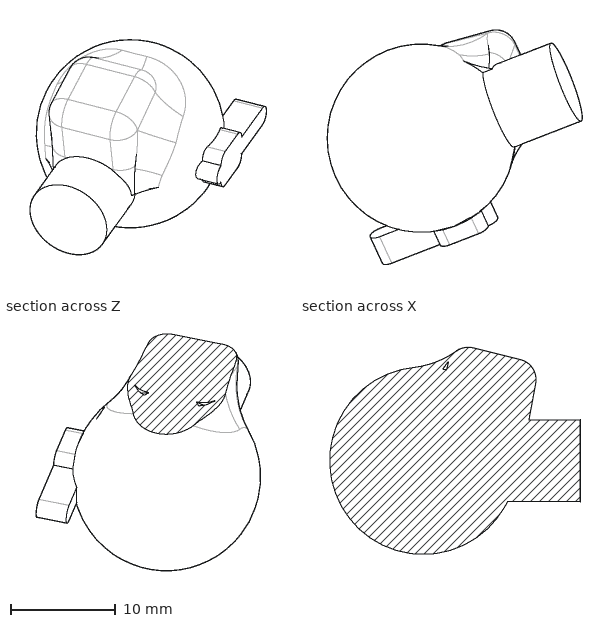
import cadquery as cq
import math

BALL_RADIUS = 9.0

PIN_DIAMETER = 8.0
PIN_END_Y = -15.0

TAB_INNER_X = 7.5
TAB_OUTER_X = 10.5
BAR_WIDTH = 2.0
BAR_START_Y = -3.5
BAR_END_Y = 8.5
HUB_LENGTH = 5.0
HUB_WIDTH = 4.0
HUB_CORNER_RADIUS = 1.0

LUMP_WIDTH = 9.0
LUMP_ROUND = 2.0
FRONT_ANGLE = 10.5
FRONT_BASE_ANGLE = 4.5
TOP_ANGLE = 14.0
KINK_Z = 3.3
KINK_Y = -10.0
TOP_FRONT_AXIS_Z = 7.73
TOP_BACK_AXIS_Y = -4.31

BLEND_RADIUS = 9.0
INNER_SCALE = 0.75
BLEND_STEPS = 6
OVERLAP = 0.001

HALF_AXIS_X = LUMP_WIDTH / 2 - LUMP_ROUND
FRONT_TAN = math.tan(math.radians(FRONT_ANGLE))
TOP_TAN = math.tan(math.radians(TOP_ANGLE))
TOP_COS = math.cos(math.radians(TOP_ANGLE))
TOP_SIN = math.sin(math.radians(TOP_ANGLE))
FRONT_BASE_Y = KINK_Y + KINK_Z * math.tan(math.radians(FRONT_BASE_ANGLE))


def front_y(z):
    """Y of the front face at height z, above the kink."""
    return KINK_Y - (z - KINK_Z) * FRONT_TAN


FRONT_INSET = LUMP_ROUND / math.cos(math.radians(FRONT_ANGLE))
TOP_FRONT_AXIS_Y = front_y(TOP_FRONT_AXIS_Z) + FRONT_INSET
TOP_BACK_AXIS_Z = TOP_FRONT_AXIS_Z + (TOP_BACK_AXIS_Y - TOP_FRONT_AXIS_Y) * TOP_TAN


def make_lump():
    """Rounded block standing on Z = 0, with a leaning front and a sloping top."""
    top_z_at_origin = TOP_BACK_AXIS_Z - TOP_BACK_AXIS_Y * TOP_TAN + LUMP_ROUND / TOP_COS
    top_front_z = (top_z_at_origin + TOP_TAN * (KINK_Y + KINK_Z * FRONT_TAN)) / (1 + TOP_TAN * FRONT_TAN)
    back_top_y = TOP_BACK_AXIS_Y + LUMP_ROUND * (TOP_COS - TOP_SIN)
    back_top_z = TOP_BACK_AXIS_Z + LUMP_ROUND * (TOP_COS + TOP_SIN)
    back_base_y = back_top_y + back_top_z * TOP_TAN
    block = (
        cq.Workplane("YZ")
        .polyline([
            (FRONT_BASE_Y, 0),
            (KINK_Y, KINK_Z),
            (front_y(top_front_z), top_front_z),
            (back_top_y, back_top_z),
            (back_base_y, 0),
        ])
        .close()
        .extrude(LUMP_WIDTH / 2, both=True)
    )
    kink_point = cq.Vector(0, KINK_Y, KINK_Z)
    rounded = [e for e in block.edges("not <Z").vals() if (e.Center() - kink_point).Length > LUMP_ROUND]
    return block.newObject(rounded).fillet(LUMP_ROUND)


def blend_section(axis_point, direction):
    """Closed section of the blend where the rolling ball touches one rounding.

    axis_point lies on the rounding's axis and direction is the unit vector along that axis.
    The rolling ball's centre is in the plane square to the axis.
    """
    across = axis_point - direction * axis_point.dot(direction)
    across_unit = across.normalized()
    outward_unit = direction.cross(across_unit)
    ball_contact_radius = BALL_RADIUS - OVERLAP
    lump_contact_radius = LUMP_ROUND - OVERLAP
    centre_to_ball = ball_contact_radius + BLEND_RADIUS
    centre_to_axis = lump_contact_radius + BLEND_RADIUS
    cosine = (centre_to_ball**2 - centre_to_axis**2 - axis_point.dot(axis_point)) / (
        2 * centre_to_axis * across.Length
    )
    sine = math.sqrt(1 - cosine**2)
    reach = (across_unit * cosine + outward_unit * sine) * centre_to_axis
    roller = axis_point + reach
    on_ball = roller * (ball_contact_radius / centre_to_ball)
    on_lump = axis_point + reach * (lump_contact_radius / centre_to_axis)
    bisector = (on_ball + on_lump - roller * 2).normalized()
    arc_middle = roller + bisector * BLEND_RADIUS
    inner = (on_ball + on_lump) * (INNER_SCALE / 2)
    return cq.Wire.assembleEdges([
        cq.Edge.makeThreePointArc(on_ball, arc_middle, on_lump),
        cq.Edge.makeLine(on_lump, inner),
        cq.Edge.makeLine(inner, on_ball),
    ])


def blend_piece(start, end, first_direction, last_direction):
    """Blend solid while the rolling ball moves from start to end and turns between two directions."""
    sections = []
    for step in range(BLEND_STEPS + 1):
        fraction = step / BLEND_STEPS
        axis_point = start + (end - start) * fraction
        direction = first_direction + (last_direction - first_direction) * fraction
        sections.append(blend_section(axis_point, direction.normalized()))
    return cq.Solid.makeLoft(sections)


def make_blend():
    """Concave skirt around the lump, in pieces that meet at shared sections."""
    base = cq.Vector(HALF_AXIS_X, FRONT_BASE_Y + LUMP_ROUND, 0)
    kink = cq.Vector(HALF_AXIS_X, KINK_Y + LUMP_ROUND, KINK_Z)
    top_front = cq.Vector(HALF_AXIS_X, TOP_FRONT_AXIS_Y, TOP_FRONT_AXIS_Z)
    top_back = cq.Vector(HALF_AXIS_X, TOP_BACK_AXIS_Y, TOP_BACK_AXIS_Z)
    far_top_back = cq.Vector(-HALF_AXIS_X, TOP_BACK_AXIS_Y, TOP_BACK_AXIS_Z)
    up = cq.Vector(0, 0, 1)
    inward = cq.Vector(-1, 0, 0)
    rise = (top_front - kink).normalized()
    backward = (top_back - top_front).normalized()
    shoulder = (rise + backward).normalized()

    back_piece = blend_piece(top_back, far_top_back, inward, inward)
    side_pieces = [
        blend_piece(top_back, top_back, backward, inward),
        blend_piece(top_front, top_back, shoulder, backward),
        blend_piece(kink, top_front, rise, shoulder),
        blend_piece(base, kink, up, rise),
    ]
    far_pieces = [piece.mirror("YZ") for piece in side_pieces]
    return [back_piece] + side_pieces + far_pieces


def make_tab():
    """Key-shaped plate: a round-ended bar along Y with a wider rounded hub."""
    thickness = TAB_OUTER_X - TAB_INNER_X
    plane = cq.Workplane("YZ").workplane(offset=TAB_INNER_X)
    bar_length = BAR_END_Y - BAR_START_Y
    bar_middle_y = (BAR_END_Y + BAR_START_Y) / 2
    bar = plane.center(bar_middle_y, 0).slot2D(bar_length, BAR_WIDTH).extrude(thickness)
    hub = plane.rect(HUB_LENGTH, HUB_WIDTH).extrude(thickness).edges("|X").fillet(HUB_CORNER_RADIUS)
    return bar.union(hub)


ball = cq.Workplane("XY").sphere(BALL_RADIUS)
pin = cq.Workplane("XZ").circle(PIN_DIAMETER / 2).extrude(-PIN_END_Y)
result = ball.union(make_lump())
for piece in make_blend():
    result = result.union(cq.Workplane(piece))
result = result.union(pin).union(make_tab())